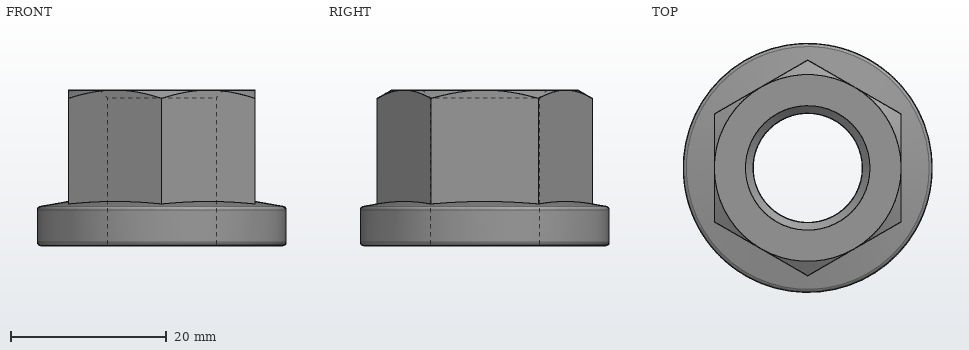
import cadquery as cq
import math

flange_diameter = 32
total_height = 20.0
across_flats = 24
bore_diameter = 14.0
bore_mouth_diameter = 16

flange_edge_height = 5.0
flange_slope = 10
rim_fillet = 0.48

hex_chamfer_angle = 30

flange_radius = flange_diameter / 2
flat_radius = across_flats / 2
corner_radius = flat_radius / math.cos(math.radians(30))


def make_flange():
    """Round collar with a shallow conical top and rounded rim edges."""
    top_height = flange_edge_height + (flange_radius - flat_radius) * math.tan(math.radians(flange_slope))
    profile = [
        (0, 0),
        (flange_radius, 0),
        (flange_radius, flange_edge_height),
        (flat_radius, top_height),
        (0, top_height),
    ]
    collar = cq.Workplane("XZ").polyline(profile).close().revolve(360, (0, 0), (0, 1))
    rim = cq.selectors.RadiusNthSelector(-1)
    return collar.edges("%CIRCLE").edges(rim).fillet(rim_fillet)


def make_hexagon():
    """Hexagonal body with flats facing X and conically chamfered top corners."""
    body = (
        cq.Workplane("XY")
        .polygon(6, 2 * corner_radius)
        .extrude(total_height)
        .rotate((0, 0, 0), (0, 0, 1), 30)
    )
    drop = (flange_radius - flat_radius) * math.tan(math.radians(hex_chamfer_angle))
    envelope_profile = [
        (0, 0),
        (flange_radius, 0),
        (flange_radius, total_height - drop),
        (flat_radius, total_height),
        (0, total_height),
    ]
    envelope = cq.Workplane("XZ").polyline(envelope_profile).close().revolve(360, (0, 0), (0, 1))
    return body.intersect(envelope)


def make_bore():
    """Through hole with a 45 degree countersink at the top."""
    bore_radius = bore_diameter / 2
    mouth_radius = bore_mouth_diameter / 2
    countersink_depth = mouth_radius - bore_radius
    profile = [
        (0, 0),
        (bore_radius, 0),
        (bore_radius, total_height - countersink_depth),
        (mouth_radius, total_height),
        (0, total_height),
    ]
    return cq.Workplane("XZ").polyline(profile).close().revolve(360, (0, 0), (0, 1))


result = make_flange().union(make_hexagon()).cut(make_bore())